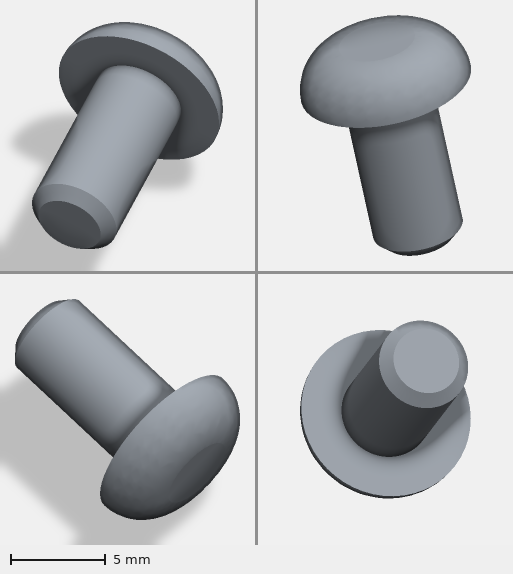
import cadquery as cq
import math

head_diameter = 9.17
head_height = 2.565
rim_land_height = 0.025
shank_diameter = 4.83
shank_length = 9.525
tip_chamfer = 0.635

head_radius = head_diameter / 2
shank_radius = shank_diameter / 2
dome_radius = head_height - rim_land_height


def make_head():
    """Domed head: thin cylindrical rim, then a tangent quarter-circle up to a flat crown."""
    crown_flat_radius = head_radius - dome_radius
    diagonal_reach = dome_radius * math.sqrt(0.5)
    arc_middle = (crown_flat_radius + diagonal_reach, rim_land_height + diagonal_reach)
    return (
        cq.Workplane("XY")
        .lineTo(head_radius, 0)
        .lineTo(head_radius, rim_land_height)
        .threePointArc(arc_middle, (crown_flat_radius, head_height))
        .lineTo(0, head_height)
        .close()
        .revolve(360, (0, 0), (0, 1))
    )


def make_shank():
    """Plain cylindrical shank with a chamfered tip."""
    return (
        cq.Workplane("XZ")
        .circle(shank_radius)
        .extrude(shank_length)
        .faces("<Y")
        .chamfer(tip_chamfer)
    )


result = make_head().union(make_shank())